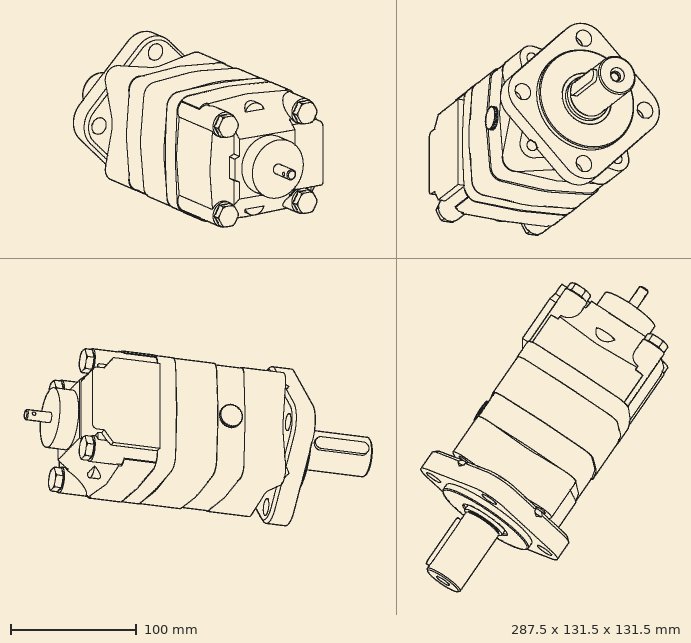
import cadquery as cq
import math

SHAFT_END = 56.4
COLLAR_START = 57.5
PILOT_FACE = 60.0
FLANGE_FACE = 65.8
FLANGE_BACK = 84.5
NECK_END = 119.5
HOUSING_END = 143.0
GEAR_RING_END = 177.7
PLATE_END = 193.0
SLOPE_START = 219.5
LUG_START = 219.6
SIDE_STEP = 242.6
LUG_END = 245.2
COVER_END = 251.0
SENSOR_END = 266.8
STUB_END = 287.5

SHAFT_DIA = 32.0
SHAFT_CHAMFER = 1.2
COLLAR_DIA = 36.0
SHAFT_DEPTH = 129.5
CENTRE_SINK_DIA = 12.0
CENTRE_BORE_DIA = 8.3
CENTRE_BORE_DEPTH = 5.8
CENTRE_CORE_DIA = 7.0
CENTRE_CORE_DEPTH = 17.2
KEY_START = 4.3
KEY_LENGTH = 45.0
KEY_WIDTH = 10.0
KEY_TOP = 19.0
KEY_HEIGHT = 8.0

FLANGE_SPAN = 131.5
FLANGE_CORNER_RADIUS = 20.0
FLANGE_CHAMFER = 2.5
FLANGE_HOLE_DIA = 13.5
FLANGE_HOLE_REACH = 53.2
PILOT_DIA = 82.5
PILOT_CHAMFER = 1.0
SEAL_RECESS_DIA = 42.8
SEAL_RECESS_DEPTH = 1.5
PLUG_DIA = 18.7
PLUG_X = 132.0
PLUG_TOP = 52.5
PLUG_TEETH = 30
PLUG_TOOTH_DEPTH = 0.43

BOLT_OFFSET = 37.0
CORNER_RADIUS = 10.4
BLOCK_CORNER_RADIUS = 9.8
NECK_VALLEY = 40.8
NECK_VALLEY_HALF_WIDTH = 3.2
RIDGE_HEIGHT = 49.7
RIDGE_HALF_WIDTH = 0.43
RING_CORNER_RADIUS = 11.0
RING_CREST = 51.0
PLATE_CORNER_RADIUS = 11.2
CREST_HALF_WIDTH = 5.0

COVER_RIDGE = 51.0
COVER_SHOULDER = 49.0
COVER_CORNER_MIDDLE = (40.8, 48.0)
COVER_CORNER_END = (44.0, 45.5)
COVER_SIDE = 49.0
COVER_SIDE_EDGE_Y = 46.3
COVER_SIDE_EDGE_Z = 32.5
SLOPE_END_HEIGHT = 24.7
TAIL_HALF_WIDTH = 26.2
PORT_PAD_FACE = 53.5
PORT_PAD_HALF_HEIGHT = 36.2
PORT_PAD_SHOULDER = 232.0
PORT_PAD_NECK = 239.8
PORT_PAD_NECK_HALF_HEIGHT = 26.5
PORT_PAD_END = 249.8
PORT_PAD_END_RADIUS = 4.3
BOSS_DIA = 18.7
BOSS_END = 232.3
RIB_HALF_HEIGHT = 10.5
RIB_FLAT_HALF_HEIGHT = 9.0
RIB_FACE = 30.5
SENSOR_DIA = 48.0
STUB_DIA = 8.3
STUB_CHAMFER = 1.0
CROSS_HOLE_DIA = 3.0
CROSS_HOLE_X = 281.8

BOLT_DIA = 8.5
BOLT_HOLE_START = 80.8
DRILL_TIP_LENGTH = 2.5
WASHER_FACE_DIA = 16.0
WASHER_FACE_HEIGHT = 0.5
HEAD_ACROSS_FLATS = 17.0
HEAD_END = 252.0
HEAD_CHAMFER = 1.0

BOLT_POSITIONS = [(y, z) for y in (-BOLT_OFFSET, BOLT_OFFSET) for z in (-BOLT_OFFSET, BOLT_OFFSET)]


def section_plane(x):
    """YZ workplane at station x: local x is +Y, local y is +Z, the normal is +X."""
    return cq.Workplane("YZ", origin=(x, 0, 0))


def rod(start, end, diameter, y=0.0, z=0.0):
    """Cylinder parallel to X."""
    return section_plane(start).center(y, z).circle(diameter / 2).extrude(end - start)


def square_prism(start, end, corner_radius, middle_height, middle_half_width):
    """Square bar with round corners on the bolt axes; each side runs from the corners, tangent
    to them, to a narrow flat at its middle, which makes a low ridge or a valley."""
    reach = math.hypot(BOLT_OFFSET - middle_half_width, middle_height - BOLT_OFFSET)
    direction = math.atan2(middle_height - BOLT_OFFSET, middle_half_width - BOLT_OFFSET)
    tangent_angle = direction - math.acos(corner_radius / reach)

    def on_corner(angle):
        return (BOLT_OFFSET + corner_radius * math.cos(angle), BOLT_OFFSET + corner_radius * math.sin(angle))

    tangent = on_corner(tangent_angle)
    corner_middle = on_corner(math.pi / 4)
    flat_end = (middle_half_width, middle_height)

    def turned(point, quarters):
        for _ in range(quarters):
            point = (point[1], -point[0])
        return point

    outline = section_plane(start).moveTo(-middle_half_width, middle_height)
    for quarters in range(4):
        outline = outline.lineTo(*turned(flat_end, quarters))
        outline = outline.lineTo(*turned(tangent, quarters))
        outline = outline.threePointArc(turned(corner_middle, quarters), turned(tangent[::-1], quarters))
        if quarters < 3:
            outline = outline.lineTo(*turned(flat_end[::-1], quarters))
    return outline.close().extrude(end - start)


def bolt_holes(start):
    """Cutters for the four tie bolts, from station start to the rear face of the lugs."""
    return section_plane(start).pushPoints(BOLT_POSITIONS).circle(BOLT_DIA / 2).extrude(LUG_END - start)


def make_shaft():
    shaft = rod(0, SHAFT_END, SHAFT_DIA).faces("<X").chamfer(SHAFT_CHAMFER)
    shoulder = (
        section_plane(SHAFT_END)
        .circle(SHAFT_DIA / 2 - SHAFT_CHAMFER)
        .extrude(COLLAR_START - SHAFT_END)
    )
    shaft = shaft.union(shoulder).union(rod(COLLAR_START, SHAFT_DEPTH, COLLAR_DIA))
    sink_radius = CENTRE_SINK_DIA / 2
    bore_radius = CENTRE_BORE_DIA / 2
    core_radius = CENTRE_CORE_DIA / 2
    sink_depth = (sink_radius - bore_radius) * math.sqrt(3)
    centre_hole = (
        cq.Workplane("XY")
        .polyline([
            (0, 0),
            (0, sink_radius),
            (sink_depth, bore_radius),
            (CENTRE_BORE_DEPTH, bore_radius),
            (CENTRE_BORE_DEPTH, core_radius),
            (CENTRE_CORE_DEPTH, core_radius),
            (CENTRE_CORE_DEPTH + core_radius, 0),
        ])
        .close()
        .revolve(360, (0, 0, 0), (1, 0, 0))
    )
    return shaft.cut(centre_hole)


def make_key():
    """Parallel key with round ends, on the +Y side of the shaft."""
    return (
        cq.Workplane("XZ", origin=(KEY_START + KEY_LENGTH / 2, KEY_TOP, 0))
        .slot2D(KEY_LENGTH, KEY_WIDTH)
        .extrude(KEY_HEIGHT)
    )


def make_flange():
    """Diamond plate with a round corner and a hole on each of +Y, -Y, +Z and -Z."""
    corner_centre = FLANGE_SPAN / 2 - FLANGE_CORNER_RADIUS
    half_side = corner_centre / math.sqrt(2) + FLANGE_CORNER_RADIUS
    holes = [(FLANGE_HOLE_REACH, 0), (-FLANGE_HOLE_REACH, 0), (0, FLANGE_HOLE_REACH), (0, -FLANGE_HOLE_REACH)]
    plate = (
        section_plane(FLANGE_FACE)
        .rect(2 * half_side, 2 * half_side)
        .extrude(FLANGE_BACK - FLANGE_FACE)
        .edges("|X")
        .fillet(FLANGE_CORNER_RADIUS)
        .rotate((0, 0, 0), (1, 0, 0), 45)
        .faces(">X")
        .chamfer(FLANGE_CHAMFER)
    )
    return plate.cut(
        section_plane(FLANGE_FACE)
        .pushPoints(holes)
        .circle(FLANGE_HOLE_DIA / 2)
        .extrude(FLANGE_BACK - FLANGE_FACE)
    )


def make_drain_plug_head():
    """Toothed disc on the +Y ridge of the housing."""
    outer = PLUG_DIA / 2
    root = outer - PLUG_TOOTH_DEPTH
    points = []
    for step in range(2 * PLUG_TEETH):
        angle = math.pi * step / PLUG_TEETH
        radius = outer if step % 2 == 0 else root
        points.append((radius * math.cos(angle), radius * math.sin(angle)))
    plane = cq.Workplane("XZ", origin=(PLUG_X, PLUG_TOP, 0))
    return plane.polyline(points).close().extrude(PLUG_TOP - BOLT_OFFSET)


def make_housing():
    pilot = rod(PILOT_FACE, FLANGE_FACE, PILOT_DIA).faces("<X").chamfer(PILOT_CHAMFER)
    neck = square_prism(FLANGE_BACK, NECK_END, CORNER_RADIUS, NECK_VALLEY, NECK_VALLEY_HALF_WIDTH)
    block = square_prism(NECK_END, HOUSING_END, BLOCK_CORNER_RADIUS, RIDGE_HEIGHT, RIDGE_HALF_WIDTH)
    housing = make_flange().union(pilot).union(neck).union(block).union(make_drain_plug_head())
    housing = housing.cut(rod(PILOT_FACE, SHAFT_DEPTH, COLLAR_DIA))
    housing = housing.cut(rod(PILOT_FACE, PILOT_FACE + SEAL_RECESS_DEPTH, SEAL_RECESS_DIA))
    housing = housing.cut(bolt_holes(BOLT_HOLE_START))
    for y, z in BOLT_POSITIONS:
        drill_tip = cq.Solid.makeCone(
            BOLT_DIA / 2, 0, DRILL_TIP_LENGTH, cq.Vector(BOLT_HOLE_START, y, z), cq.Vector(-1, 0, 0)
        )
        housing = housing.cut(cq.Workplane(drill_tip))
    return housing


def make_gear_ring():
    ring = square_prism(HOUSING_END, GEAR_RING_END, RING_CORNER_RADIUS, RING_CREST, CREST_HALF_WIDTH)
    return ring.cut(bolt_holes(HOUSING_END))


def make_channel_plate():
    plate = square_prism(GEAR_RING_END, PLATE_END, PLATE_CORNER_RADIUS, RIDGE_HEIGHT, CREST_HALF_WIDTH)
    return plate.cut(bolt_holes(GEAR_RING_END))


def make_cover_core():
    """Ridged block that slopes down behind, above and below, to a narrow tail."""
    def mirrored(point):
        return (-point[0], point[1])

    side_edge = (COVER_SIDE_EDGE_Y, COVER_SIDE_EDGE_Z)
    shoulder = (BOLT_OFFSET, COVER_SHOULDER)
    upper_half = (
        section_plane(PLATE_END)
        .moveTo(-COVER_SIDE, 0)
        .lineTo(*mirrored(side_edge))
        .lineTo(*mirrored(COVER_CORNER_END))
        .threePointArc(mirrored(COVER_CORNER_MIDDLE), mirrored(shoulder))
        .lineTo(0, COVER_RIDGE)
        .lineTo(*shoulder)
        .threePointArc(COVER_CORNER_MIDDLE, COVER_CORNER_END)
        .lineTo(*side_edge)
        .lineTo(COVER_SIDE, 0)
        .close()
        .extrude(COVER_END - PLATE_END)
    )
    core = upper_half.union(upper_half.mirror("XY"))
    side_profile = (
        cq.Workplane("XZ")
        .polyline([
            (PLATE_END, COVER_RIDGE),
            (SLOPE_START, COVER_RIDGE),
            (COVER_END, SLOPE_END_HEIGHT),
            (COVER_END, -SLOPE_END_HEIGHT),
            (SLOPE_START, -COVER_RIDGE),
            (PLATE_END, -COVER_RIDGE),
        ])
        .close()
        .extrude(COVER_SIDE, both=True)
    )
    plan = (
        cq.Workplane("XY")
        .polyline([
            (PLATE_END, COVER_SIDE),
            (SIDE_STEP, COVER_SIDE),
            (SIDE_STEP, TAIL_HALF_WIDTH),
            (COVER_END, TAIL_HALF_WIDTH),
            (COVER_END, -TAIL_HALF_WIDTH),
            (SIDE_STEP, -TAIL_HALF_WIDTH),
            (SIDE_STEP, -COVER_SIDE),
            (PLATE_END, -COVER_SIDE),
        ])
        .close()
        .extrude(COVER_RIDGE, both=True)
    )
    core = core.intersect(side_profile).intersect(plan)
    corner_size = 2 * (COVER_RIDGE - BOLT_OFFSET)
    corner_centres = [(y, z) for y in (-COVER_RIDGE, COVER_RIDGE) for z in (-COVER_RIDGE, COVER_RIDGE)]
    return core.cut(
        section_plane(LUG_START)
        .pushPoints(corner_centres)
        .rect(corner_size, corner_size)
        .extrude(COVER_END - LUG_START)
    )


def make_port_pad():
    """Flat pad on the +Y side, narrowed between the lugs, with a rounded rear end."""
    return (
        cq.Workplane("XZ", origin=(0, PORT_PAD_FACE, 0))
        .polyline([
            (PLATE_END, PORT_PAD_HALF_HEIGHT),
            (PORT_PAD_SHOULDER, PORT_PAD_HALF_HEIGHT),
            (PORT_PAD_NECK, PORT_PAD_NECK_HALF_HEIGHT),
            (PORT_PAD_END, PORT_PAD_NECK_HALF_HEIGHT),
            (PORT_PAD_END, -PORT_PAD_NECK_HALF_HEIGHT),
            (PORT_PAD_NECK, -PORT_PAD_NECK_HALF_HEIGHT),
            (PORT_PAD_SHOULDER, -PORT_PAD_HALF_HEIGHT),
            (PLATE_END, -PORT_PAD_HALF_HEIGHT),
        ])
        .close()
        .extrude(PORT_PAD_FACE - TAIL_HALF_WIDTH)
        .faces(">X")
        .edges("|Y")
        .fillet(PORT_PAD_END_RADIUS)
    )


def make_side_rib():
    """Bevelled rib on the -Y side of the tail."""
    return (
        section_plane(SIDE_STEP)
        .polyline([
            (-TAIL_HALF_WIDTH, RIB_HALF_HEIGHT),
            (-RIB_FACE, RIB_FLAT_HALF_HEIGHT),
            (-RIB_FACE, -RIB_FLAT_HALF_HEIGHT),
            (-TAIL_HALF_WIDTH, -RIB_HALF_HEIGHT),
        ])
        .close()
        .extrude(COVER_END - SIDE_STEP)
    )


def make_rear_cover():
    cover = make_cover_core().union(make_port_pad()).union(make_side_rib())
    for y, z in BOLT_POSITIONS:
        cover = cover.union(rod(PLATE_END, LUG_END, 2 * CORNER_RADIUS, y, z))
    for z in (-BOLT_OFFSET, BOLT_OFFSET):
        cover = cover.union(rod(SLOPE_START, BOSS_END, BOSS_DIA, 0, z))
    stub = rod(SENSOR_END, STUB_END, STUB_DIA).faces(">X").chamfer(STUB_CHAMFER)
    cross_hole = (
        cq.Workplane("XZ", origin=(CROSS_HOLE_X, 0, 0))
        .circle(CROSS_HOLE_DIA / 2)
        .extrude(STUB_DIA, both=True)
    )
    cover = cover.union(rod(COVER_END, SENSOR_END, SENSOR_DIA)).union(stub.cut(cross_hole))
    return cover.cut(bolt_holes(PLATE_END))


def make_tie_bolt(y, z):
    """Hexagon bolt along X with two head corners in the Y direction."""
    shank = rod(FLANGE_BACK, LUG_END, BOLT_DIA, y, z)
    washer_face = rod(LUG_END, LUG_END + WASHER_FACE_HEIGHT, WASHER_FACE_DIA, y, z)
    head_start = LUG_END + WASHER_FACE_HEIGHT
    across_corners = HEAD_ACROSS_FLATS * 2 / math.sqrt(3)
    head = section_plane(head_start).center(y, z).polygon(6, across_corners).extrude(HEAD_END - head_start)
    chamfer_limit = rod(head_start, HEAD_END, across_corners, y, z).faces(">X").chamfer(HEAD_CHAMFER)
    return shank.union(washer_face).union(head.intersect(chamfer_limit))


key = make_key()
shaft = make_shaft().cut(key)
housing = make_housing()
gear_ring = make_gear_ring()
channel_plate = make_channel_plate()
rear_cover = make_rear_cover()
tie_bolts = [make_tie_bolt(y, z) for y, z in BOLT_POSITIONS]

result = cq.Compound.makeCompound([
    shaft.val(),
    key.val(),
    housing.val(),
    gear_ring.val(),
    channel_plate.val(),
    rear_cover.val(),
    *[bolt.val() for bolt in tie_bolts],
])